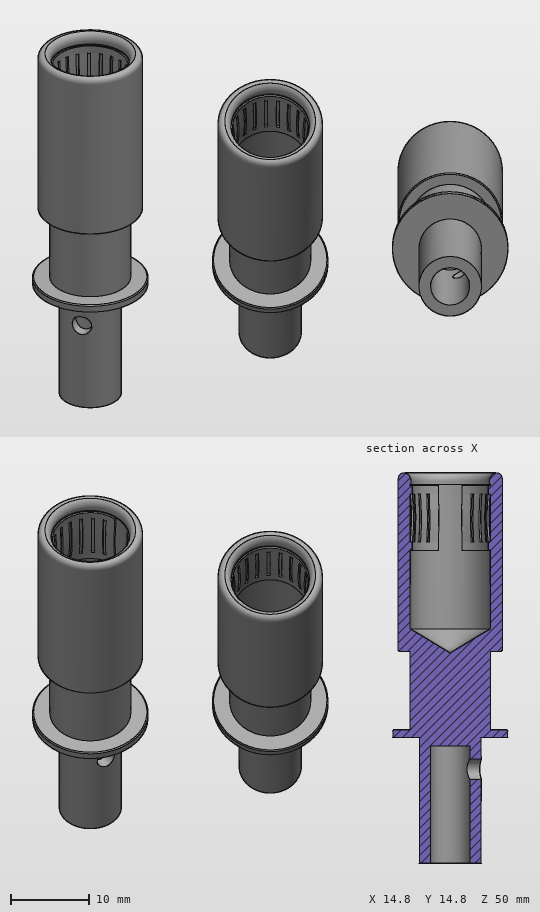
import cadquery as cq
import math

total_height = 50.0
flange_bottom = 16.1
flange_top = 17.1
head_bottom = 27.1

tail_radius = 4.0
flange_radius = 7.4
neck_radius = 5.2
head_radius = 6.7

flange_chamfer = 0.15
head_bottom_chamfer = 0.15
lip_outer_round = 0.75
lip_flat_width = 0.15

mouth_radius = 5.0
mouth_flare_depth = 1.1
socket_radius = 5.1
mouth_depth = 1.5
sleeve_clearance = 0.15
socket_depth = 20.0
drill_point_angle = 118.0

sleeve_thickness = 0.25
finger_bow = 0.15
ring_height = 1.1
finger_length = 6.1
finger_pitch = 18.0
finger_slot_width = 0.4
sleeve_gap_angle = 2 * finger_pitch

wire_bore_radius = 2.5
wire_bore_depth = 15.0
inspection_hole_diameter = 2.6
inspection_hole_height = 12.05


def revolve_about_z(profile):
    """Turn a closed radius-height profile, drawn on XZ, around the part axis."""
    return profile.close().revolve(360, (0, 0, 0), (0, 1, 0))


def make_body():
    rim_outer = head_radius - lip_outer_round
    rim_inner = rim_outer - lip_flat_width
    lip_round_bottom = total_height - lip_outer_round

    flare_bottom = total_height - mouth_flare_depth
    flare_width = rim_inner - mouth_radius
    flare_radius = (flare_width**2 + mouth_flare_depth**2) / (2 * flare_width)
    flare_half_angle = math.asin(mouth_flare_depth / flare_radius) / 2
    flare_middle = (
        mouth_radius + flare_radius * (1 - math.cos(flare_half_angle)),
        flare_bottom + flare_radius * math.sin(flare_half_angle),
    )

    socket_top = total_height - mouth_depth
    socket_bottom = total_height - socket_depth
    drill_point_depth = socket_radius / math.tan(math.radians(drill_point_angle / 2))

    profile = (
        cq.Workplane("XZ")
        .moveTo(0, 0)
        .lineTo(tail_radius, 0)
        .lineTo(tail_radius, flange_bottom)
        .lineTo(flange_radius, flange_bottom)
        .lineTo(flange_radius, flange_top - flange_chamfer)
        .lineTo(flange_radius - flange_chamfer, flange_top)
        .lineTo(neck_radius, flange_top)
        .lineTo(neck_radius, head_bottom)
        .lineTo(head_radius - head_bottom_chamfer, head_bottom)
        .lineTo(head_radius, head_bottom + head_bottom_chamfer)
        .lineTo(head_radius, lip_round_bottom)
        .tangentArcPoint((rim_outer, total_height), relative=False)
        .lineTo(rim_inner, total_height)
        .threePointArc(flare_middle, (mouth_radius, flare_bottom))
        .lineTo(mouth_radius, socket_top)
        .lineTo(socket_radius, socket_top)
        .lineTo(socket_radius, socket_bottom)
        .lineTo(0, socket_bottom - drill_point_depth)
    )
    return revolve_about_z(profile)


def make_contact_sleeve():
    """Sleeve with fingers bowed inward, split by a wide gap at +X and slotted into spring fingers."""
    ring_inner = socket_radius - sleeve_thickness
    top = total_height - mouth_depth - sleeve_clearance
    fingers_top = top - ring_height
    fingers_middle = fingers_top - finger_length / 2
    fingers_bottom = fingers_top - finger_length
    bottom = fingers_bottom - ring_height

    sleeve = revolve_about_z(
        cq.Workplane("XZ")
        .moveTo(socket_radius, top)
        .lineTo(ring_inner, top)
        .lineTo(ring_inner, fingers_top)
        .threePointArc((ring_inner - finger_bow, fingers_middle), (ring_inner, fingers_bottom))
        .lineTo(ring_inner, bottom)
        .lineTo(socket_radius, bottom)
        .lineTo(socket_radius, fingers_bottom)
        .threePointArc((socket_radius - finger_bow, fingers_middle), (socket_radius, fingers_top))
    )

    slot = (
        cq.Workplane("XY")
        .box(2 * socket_radius, finger_slot_width, finger_length, centered=(False, True, False))
        .translate((0, 0, fingers_bottom))
    )
    slot_count = round((360 - sleeve_gap_angle) / finger_pitch) - 1
    for index in range(slot_count):
        angle = sleeve_gap_angle / 2 + (index + 1) * finger_pitch
        sleeve = sleeve.cut(slot.rotate((0, 0, 0), (0, 0, 1), angle))

    gap_reach = 2 * socket_radius
    gap_half_width = gap_reach * math.tan(math.radians(sleeve_gap_angle / 2))
    gap = (
        cq.Workplane("XY", origin=(0, 0, bottom))
        .polyline([(0, 0), (gap_reach, -gap_half_width), (gap_reach, gap_half_width)])
        .close()
        .extrude(top - bottom)
    )
    return sleeve.cut(gap)


def make_wire_bore():
    return cq.Workplane("XY").circle(wire_bore_radius).extrude(wire_bore_depth)


def make_inspection_hole():
    return (
        cq.Workplane("XZ", origin=(0, 0, inspection_hole_height))
        .circle(inspection_hole_diameter / 2)
        .extrude(tail_radius)
    )


result = (
    make_body()
    .union(make_contact_sleeve())
    .cut(make_wire_bore())
    .cut(make_inspection_hole())
)